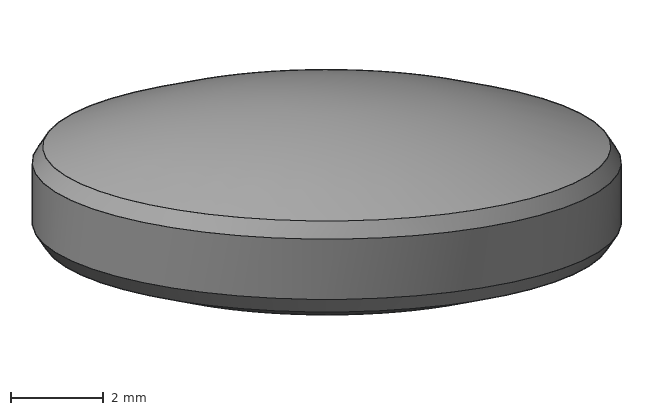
import cadquery as cq

diameter = 12.7
center_thickness = 4.2
edge_thickness = 2.03
band_height = 1.35
chamfer_width = 0.23

radius = diameter / 2
dome_radius = radius - chamfer_width
half_center = center_thickness / 2
half_edge = edge_thickness / 2
half_band = band_height / 2

sagitta = half_center - half_edge
sphere_radius = (dome_radius**2 + sagitta**2) / (2 * sagitta)

mid_radius = dome_radius / 2
mid_height = half_center - sphere_radius + (sphere_radius**2 - mid_radius**2) ** 0.5

half_section = (
    cq.Workplane("XZ")
    .moveTo(0, -half_center)
    .threePointArc((mid_radius, -mid_height), (dome_radius, -half_edge))
    .lineTo(radius, -half_band)
    .lineTo(radius, half_band)
    .lineTo(dome_radius, half_edge)
    .threePointArc((mid_radius, mid_height), (0, half_center))
    .close()
)
result = half_section.revolve(360, (0, 0, 0), (0, 1, 0))